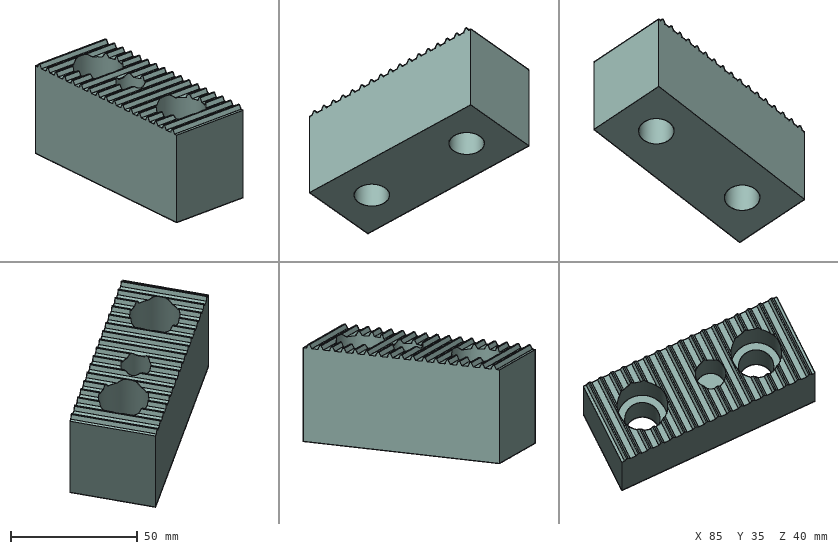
import cadquery as cq
import math

length = 85.0
width = 35.0
height = 40.0

tooth_pitch = 5.0
tooth_root_width = tooth_pitch / 2
tooth_flank_angle = 60.0
tooth_tip_cut = 0.5
flank_slope = math.tan(math.radians(tooth_flank_angle))
tooth_crest_width = 2 * tooth_tip_cut / flank_slope
tooth_height = tooth_root_width / 2 * flank_slope - tooth_tip_cut
tooth_count = round(length / tooth_pitch)
body_height = height - tooth_height

bolt_positions = (17.5, 67.5)
bolt_diameter = 14.0
counterbore_diameter = 20.0
counterbore_depth = 20.0

blind_position = 37.5
blind_diameter = 12.0
blind_depth = 20.0


def serrated_body():
    """Extrude the block profile with trapezoidal teeth along its top edge."""
    half_root = tooth_root_width / 2
    half_crest = tooth_crest_width / 2
    points = [(length, 0), (0, 0), (0, body_height)]
    for index in range(tooth_count):
        centre = (index + 0.5) * tooth_pitch
        points += [
            (centre - half_root, body_height),
            (centre - half_crest, height),
            (centre + half_crest, height),
            (centre + half_root, body_height),
        ]
    points.append((length, body_height))
    return cq.Workplane("XZ").polyline(points).close().extrude(-width)


def hole_from_top(x, diameter, depth):
    """Cylinder on the block's centre line, reaching down from the tooth crests."""
    return (
        cq.Workplane("XY", origin=(x, width / 2, height - depth))
        .circle(diameter / 2)
        .extrude(depth)
    )


result = serrated_body()
for bolt_x in bolt_positions:
    result = result.cut(hole_from_top(bolt_x, bolt_diameter, height))
    result = result.cut(hole_from_top(bolt_x, counterbore_diameter, counterbore_depth))
result = result.cut(hole_from_top(blind_position, blind_diameter, blind_depth))